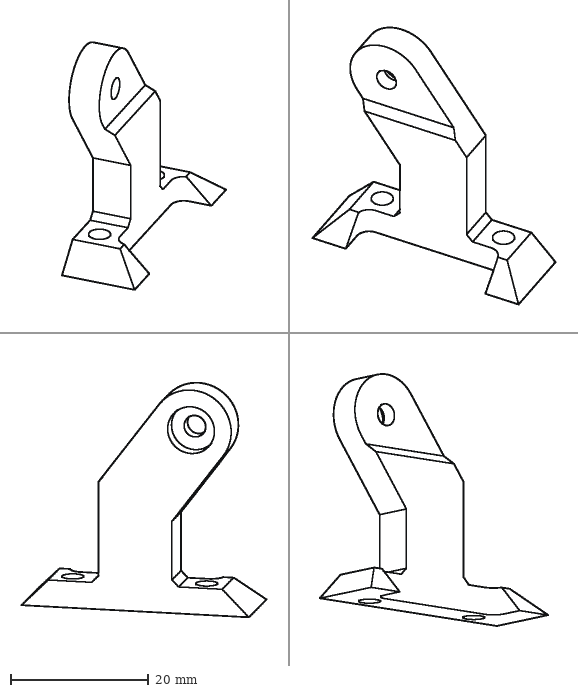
import cadquery as cq
import math

base_length = 34.0
base_depth = 11.53
base_height = 4.0
base_slope = base_height
foot_width = 5.5
inner_corner_radius = 2.0
screw_diameter = 3.2
screw_y = 10.0

web_thickness = 6.0
web_width = 11.0
gusset = 1.0
arm_angle = math.degrees(math.atan2(4, 3))

overall_height = 33.58
eye_radius = 6.0
eye_y = -8.35
eye_z = overall_height - eye_radius
eye_thickness = 4.8
eye_bore_diameter = 3.2
counterbore_diameter = 7.0
counterbore_depth = 2.5
relief_below_eye = 4.8

half_length = base_length / 2
half_web = web_width / 2
arm_cos = math.cos(math.radians(arm_angle))
arm_sin = math.sin(math.radians(arm_angle))


def arm_edge_point(side):
    """Tangent point of an arm edge on the eye; side is +1 for upper, -1 for lower."""
    return (eye_y + side * eye_radius * arm_sin, eye_z + side * eye_radius * arm_cos)


def arm_edge_height(side):
    """Height at which an arm edge meets the upright face on the same side."""
    tangent_y, tangent_z = arm_edge_point(side)
    return tangent_z - (side * half_web - tangent_y) * arm_sin / arm_cos


def make_web():
    """Upright, arm and eye as one flat plate, with small gussets at the base."""
    gusset_outer = half_web + gusset
    gusset_top = base_height + gusset
    eye_tip = (eye_y - eye_radius * arm_cos, eye_z + eye_radius * arm_sin)
    return (
        cq.Workplane("YZ")
        .moveTo(-gusset_outer, 0)
        .lineTo(gusset_outer, 0)
        .lineTo(gusset_outer, base_height)
        .lineTo(half_web, gusset_top)
        .lineTo(half_web, arm_edge_height(1))
        .lineTo(*arm_edge_point(1))
        .threePointArc(eye_tip, arm_edge_point(-1))
        .lineTo(-half_web, arm_edge_height(-1))
        .lineTo(-half_web, gusset_top)
        .lineTo(-gusset_outer, base_height)
        .close()
        .extrude(web_thickness)
    )


def make_base():
    """U-shaped base with its ends and the +X faces of its feet sloping at 45 degrees."""
    end_profile = (
        cq.Workplane("YZ")
        .moveTo(-half_length, 0)
        .lineTo(half_length, 0)
        .lineTo(half_length - base_slope, base_height)
        .lineTo(-half_length + base_slope, base_height)
        .close()
        .extrude(base_depth)
    )
    front_profile = (
        cq.Workplane("XZ", origin=(0, half_length, 0))
        .moveTo(0, 0)
        .lineTo(base_depth, 0)
        .lineTo(base_depth - base_slope, base_height)
        .lineTo(0, base_height)
        .close()
        .extrude(base_length)
    )
    notch = (
        cq.Workplane("XY")
        .box(base_depth, base_length - 2 * foot_width, base_height, centered=(False, True, False))
        .translate((web_thickness, 0, 0))
        .edges("|Z and <X")
        .fillet(inner_corner_radius)
    )
    return end_profile.intersect(front_profile).cut(notch)


def make_screw_holes():
    """Vertical through holes, one at each end of the base."""
    return (
        cq.Workplane("XY")
        .pushPoints([(web_thickness / 2, -screw_y), (web_thickness / 2, screw_y)])
        .circle(screw_diameter / 2)
        .extrude(base_height)
    )


def make_eye_bore():
    """Through bore with a counterbore opening on the flat back face."""
    eye_plane = cq.Workplane("YZ").center(eye_y, eye_z)
    bore = eye_plane.circle(eye_bore_diameter / 2).extrude(web_thickness)
    counterbore = eye_plane.circle(counterbore_diameter / 2).extrude(counterbore_depth)
    return bore.union(counterbore)


def make_eye_relief():
    """Thins the plate around the eye, ending in a 45-degree ramp."""
    relief_bottom = eye_z - relief_below_eye
    ramp = web_thickness - eye_thickness
    relief_top = eye_z + eye_radius
    return (
        cq.Workplane("XZ", origin=(0, half_length, 0))
        .moveTo(eye_thickness, relief_top)
        .lineTo(eye_thickness, relief_bottom)
        .lineTo(web_thickness, relief_bottom - ramp)
        .lineTo(web_thickness, relief_top)
        .close()
        .extrude(base_length)
    )


result = (
    make_base()
    .union(make_web())
    .cut(make_screw_holes())
    .cut(make_eye_bore())
    .cut(make_eye_relief())
)